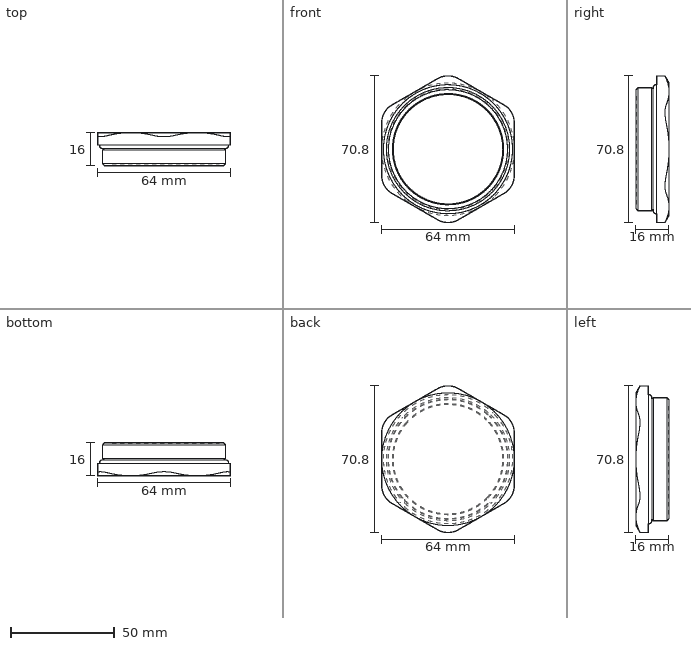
import cadquery as cq
import math

across_flats = 64.0
across_corners = 70.8
total_length = 16.0

head_thickness = 6.0
head_chamfer_angle = 30.0

ring_outer_radius = 31.15
ring_section_radius = 1.4
ring_length = 1.7

body_radius = 59.5 / 2
end_face_radius = 57.4 / 2
end_chamfer_length = 1.05
neck_radius = 29.0
neck_taper_length = 0.7

recess_mouth_radius = 26.85
recess_floor_radius = 26.4
recess_depth = 0.35

head_front = total_length - head_thickness
ring_front = head_front - ring_length
body_back = ring_front - neck_taper_length
ring_center_y = ring_front + ring_section_radius
ring_center_radius = ring_outer_radius - ring_section_radius


def revolve_about_y(profile):
    """Close a radius-Y profile and turn it around the Y axis."""
    return profile.close().revolve(360, (0, 0, 0), (0, 1, 0))


def make_head():
    """Hexagon with rounded corners and a conical chamfer on its back."""
    sharp_radius = across_flats / 2 / math.cos(math.radians(30))
    corner_radius = (sharp_radius - across_corners / 2) / (1 / math.cos(math.radians(30)) - 1)
    hexagon = (
        cq.Workplane("XZ", origin=(0, total_length, 0))
        .transformed(rotate=(0, 0, 30))
        .polygon(6, 2 * sharp_radius)
        .extrude(head_thickness)
        .edges("|Y")
        .fillet(corner_radius)
    )
    back_radius = across_flats / 2
    cone_drop = (sharp_radius - back_radius) * math.tan(math.radians(head_chamfer_angle))
    envelope = revolve_about_y(
        cq.Workplane("XY")
        .moveTo(0, head_front)
        .lineTo(sharp_radius, head_front)
        .lineTo(sharp_radius, total_length - cone_drop)
        .lineTo(back_radius, total_length)
        .lineTo(0, total_length)
    )
    return hexagon.intersect(envelope)


def make_body():
    """Plug body with a recessed, chamfered end and a tapered neck."""
    return revolve_about_y(
        cq.Workplane("XY")
        .moveTo(0, recess_depth)
        .lineTo(recess_floor_radius, recess_depth)
        .lineTo(recess_mouth_radius, 0)
        .lineTo(end_face_radius, 0)
        .lineTo(body_radius, end_chamfer_length)
        .lineTo(body_radius, body_back)
        .lineTo(neck_radius, ring_front)
        .lineTo(neck_radius, head_front)
        .lineTo(0, head_front)
    )


def make_ring():
    """Sealing ring with a round outer face, cut off flat by the head."""
    head_side_offset = head_front - ring_center_y
    head_side_radius = ring_center_radius + math.sqrt(ring_section_radius**2 - head_side_offset**2)
    return revolve_about_y(
        cq.Workplane("XY")
        .moveTo(neck_radius, ring_front)
        .lineTo(ring_center_radius, ring_front)
        .threePointArc((ring_outer_radius, ring_center_y), (head_side_radius, head_front))
        .lineTo(neck_radius, head_front)
    )


result = make_head().union(make_body()).union(make_ring())